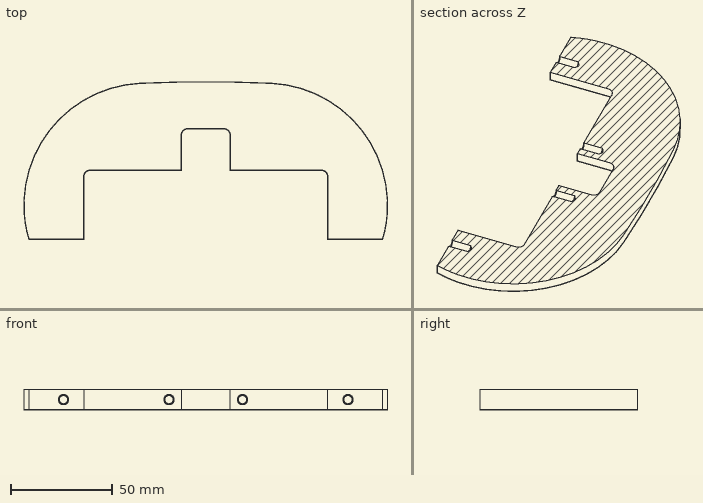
import cadquery as cq
import math

length = 179.2
depth = 77.8
thickness = 10.0
half_length = length / 2

shoulder_radius = 60.2
shoulder_center_x = half_length - shoulder_radius
shoulder_center_y = 16.8
tip_seam_y = 12.2
tip_half_span = 87.0

opening_half_width = 60.0
opening_depth = 34.0
notch_half_width = 12.0
notch_depth = 54.5
inner_corner_radius = 3.0

hole_diameter = 4.1
hole_depth = 10.0
mouth_diameter = 5.0
drill_point_angle = 118.0
leg_hole_x = 70.0
inner_hole_x = 18.1


def shoulder_point(angle, side):
    """Point on the right (side 1) or left (side -1) shoulder arc, angle measured up from horizontal."""
    x = shoulder_center_x + shoulder_radius * math.cos(angle)
    y = shoulder_center_y + shoulder_radius * math.sin(angle)
    return (side * x, y)


def outer_plate():
    """Extruded D-shaped outline, before the opening is cut."""
    rise = depth - shoulder_center_y
    crown_radius = (shoulder_center_x**2 + rise**2 - shoulder_radius**2) / (2 * (rise - shoulder_radius))
    crown_half_angle = math.asin(shoulder_center_x / (crown_radius - shoulder_radius))

    seam_angle = math.asin((tip_seam_y - shoulder_center_y) / shoulder_radius)
    crown_angle = math.pi / 2 - crown_half_angle
    middle_angle = (seam_angle + crown_angle) / 2

    seam_x, seam_y = shoulder_point(seam_angle, 1)
    inward_x = seam_x - tip_half_span
    chord_along_normal = inward_x * math.cos(seam_angle) + seam_y * math.sin(seam_angle)
    tip_radius = (inward_x**2 + seam_y**2) / (2 * chord_along_normal)

    return (
        cq.Workplane("XY")
        .moveTo(tip_half_span, 0)
        .radiusArc((seam_x, seam_y), -tip_radius)
        .threePointArc(shoulder_point(middle_angle, 1), shoulder_point(crown_angle, 1))
        .threePointArc((0, depth), shoulder_point(crown_angle, -1))
        .threePointArc(shoulder_point(middle_angle, -1), (-seam_x, seam_y))
        .radiusArc((-tip_half_span, 0), -tip_radius)
        .close()
        .extrude(thickness)
    )


def rounded_opening(half_width, opening_reach):
    """Cutter centered on X = 0, open at the front, with its two back corners rounded."""
    return (
        cq.Workplane("XY")
        .rect(2 * half_width, 2 * opening_reach)
        .extrude(thickness)
        .edges("|Z and >Y")
        .fillet(inner_corner_radius)
    )


def drilled_hole(x, face_y):
    """Countersunk drill-shaped cutter with a conical point, entering the face at face_y."""
    radius = hole_diameter / 2
    point_length = radius / math.tan(math.radians(drill_point_angle / 2))
    mouth_radius = mouth_diameter / 2
    profile = [
        (0, 0),
        (mouth_radius, 0),
        (radius, mouth_radius - radius),
        (radius, hole_depth),
        (0, hole_depth + point_length),
    ]
    return (
        cq.Workplane("XY")
        .polyline(profile)
        .close()
        .revolve(360, (0, 0), (0, 1))
        .translate((x, face_y, thickness / 2))
    )


result = (
    outer_plate()
    .cut(rounded_opening(opening_half_width, opening_depth))
    .cut(rounded_opening(notch_half_width, notch_depth))
)
for side in (-1, 1):
    result = result.cut(drilled_hole(side * leg_hole_x, 0))
    result = result.cut(drilled_hole(side * inner_hole_x, opening_depth))